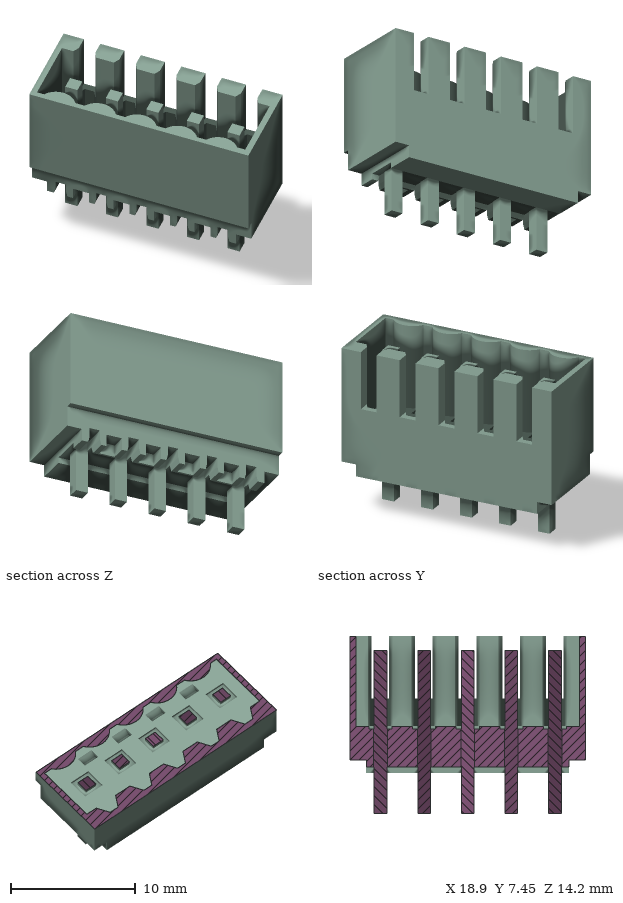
import cadquery as cq

length = 18.9
width = 7.45
height = 14.25
pole_count = 5
pitch = 3.5

foot_z = 3.25
foot_slot_top_z = 3.75
base_z = 4.29
front_step_z = 6.03
cavity_floor_z = 7.03
rear_slot_floor_z = 9.25

front_y = -width / 2
rear_y = width / 2
front_step_depth = 0.62
step_face_y = front_y + front_step_depth

end_wall = 0.5
front_wall = 0.43
rear_wall = 1.59
cavity_front_y = front_y + front_wall
cavity_rear_y = rear_y - rear_wall
cavity_end_x = length / 2 - end_wall
end_pad_thickness = 0.11
keyway_depth = 1.04
keyway_mouth_width = 1.98
keyway_back_width = 0.8
rear_slot_width = 1.42
bump_radius = 1.6
bump_rise = 0.74

collar_recess_side = 1.81
collar_recess_depth = 0.19
pocket_width = 1.4
pocket_rear_y = -1.75
pocket_flat = 0.43
pocket_ramp = 0.43

foot_length = 16.31
foot_slot_front_y = -1.57
foot_slot_rear_y = 1.13
foot_gap_width = 1.36
foot_gap_rear_y = pocket_rear_y
channel_top_z = 4.54
channel_width = 0.93
channel_mouth_width = 1.17

pin_side = 1.05
pin_y = -0.25
pin_top_z = 13.1

pole_xs = [(i - (pole_count - 1) / 2) * pitch for i in range(pole_count)]
between_xs = [x + pitch / 2 for x in pole_xs[:-1]]


def box(x_range, y_range, z_range):
    """Axis-aligned box between two limits on each axis."""
    (x0, x1), (y0, y1), (z0, z1) = x_range, y_range, z_range
    return cq.Workplane("XY").box(x1 - x0, y1 - y0, z1 - z0, centered=False).translate((x0, y0, z0))


def centred(x, size):
    """Limits of a span of the given size centred on x."""
    return (x - size / 2, x + size / 2)


def shell():
    """Outer block, set back at the bottom of the front face, with the foot rail below."""
    ends = centred(0, length)
    upper = box(ends, (front_y, rear_y), (front_step_z, height))
    lower = box(ends, (step_face_y, rear_y), (base_z, front_step_z))
    foot = box(centred(0, foot_length), (step_face_y, rear_y), (foot_z, base_z))
    return upper.union(lower).union(foot)


def keyway(x):
    """Tapered groove in the rear wall, open to the cavity."""
    back_y = cavity_rear_y + keyway_depth
    return (
        cq.Workplane("XY", origin=(x, 0, cavity_floor_z))
        .moveTo(-keyway_mouth_width / 2, cavity_rear_y)
        .lineTo(-keyway_back_width / 2, back_y)
        .lineTo(keyway_back_width / 2, back_y)
        .lineTo(keyway_mouth_width / 2, cavity_rear_y)
        .close()
        .extrude(height - cavity_floor_z)
    )


def bump(x):
    """Round rib standing out of the inside of the front wall."""
    centre_y = cavity_front_y + bump_rise - bump_radius
    return (
        cq.Workplane("XY", origin=(x, centre_y, cavity_floor_z))
        .circle(bump_radius)
        .extrude(height - cavity_floor_z)
    )


def cavity():
    """Plug cavity with keyways at the rear, round ribs and a thicker right end at the front."""
    z_range = (cavity_floor_z, height)
    space = box((-cavity_end_x, cavity_end_x), (cavity_front_y, cavity_rear_y), z_range)
    end_pad = box(
        (pole_xs[-1], cavity_end_x),
        (cavity_front_y, cavity_front_y + end_pad_thickness),
        z_range,
    )
    space = space.cut(end_pad)
    for x in pole_xs:
        space = space.cut(bump(x)).union(keyway(x))
    return space


def rear_slot(x):
    """Slot through the rear wall, open at the top."""
    return box(centred(x, rear_slot_width), (cavity_rear_y, rear_y), (rear_slot_floor_z, height))


def ramped_pocket(x):
    """Floor pocket with a flat bottom at the rear and a ramp rising toward the front."""
    flat_front_y = pocket_rear_y - pocket_flat
    bottom_z = cavity_floor_z - pocket_ramp
    return (
        cq.Workplane("YZ", origin=(x - pocket_width / 2, 0, 0))
        .moveTo(pocket_rear_y, cavity_floor_z)
        .lineTo(pocket_rear_y, bottom_z)
        .lineTo(flat_front_y, bottom_z)
        .lineTo(flat_front_y - pocket_ramp, cavity_floor_z)
        .close()
        .extrude(pocket_width)
    )


def foot_gap(x):
    """Blind gap in the front of the foot rail between two pins."""
    return box(centred(x, foot_gap_width), (step_face_y, foot_gap_rear_y), (foot_z, base_z))


def pin_channel(x):
    """Channel from the front foot face to the pin, flared at its mouth on the underside."""
    half = channel_width / 2
    mouth_half = channel_mouth_width / 2
    return (
        cq.Workplane("XZ", origin=(x, pin_y, 0))
        .moveTo(-mouth_half, foot_z)
        .lineTo(-half, foot_slot_top_z)
        .lineTo(-half, channel_top_z)
        .lineTo(half, channel_top_z)
        .lineTo(half, foot_slot_top_z)
        .lineTo(mouth_half, foot_z)
        .close()
        .extrude(pin_y - step_face_y)
    )


def collar_recess(x):
    """Shallow square recess in the cavity floor around a pin."""
    side = collar_recess_side
    return box(
        centred(x, side),
        centred(pin_y, side),
        (cavity_floor_z - collar_recess_depth, cavity_floor_z),
    )


def pin(x):
    """Square pin; the same shape cuts its hole in the housing."""
    return box(centred(x, pin_side), centred(pin_y, pin_side), (0, pin_top_z))


def build_housing():
    """One-piece housing with all its cavities, slots and pin holes."""
    foot_slot = box(
        centred(0, length), (foot_slot_front_y, foot_slot_rear_y), (foot_z, foot_slot_top_z)
    )
    body = shell().cut(cavity()).cut(foot_slot)
    for x in pole_xs:
        for feature in (rear_slot, collar_recess, pin_channel, pin):
            body = body.cut(feature(x))
    for x in between_xs:
        for feature in (ramped_pocket, foot_gap):
            body = body.cut(feature(x))
    return body


housing = build_housing()
pins = [pin(x) for x in pole_xs]

result = cq.Compound.makeCompound([housing.val(), *[p.val() for p in pins]])